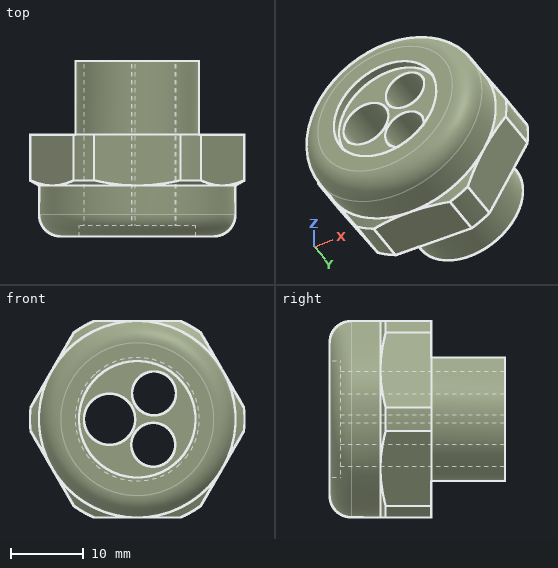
import cadquery as cq
import math

tail_length = 10.1
hex_length = 7.0
head_length = 7.0

across_flats = 27.0
corner_diameter = 29.5
corner_chamfer_angle = 30.0

head_diameter = across_flats
head_fillet = 3.0
tail_diameter = 17.0

recess_diameter = 16.0
recess_depth = 1.5

cable_holes = [
    (-3.8, 0.0, 7.0),
    (2.3, 3.55, 6.0),
    (2.2, -3.5, 6.0),
]

hex_front = -hex_length
head_front = hex_front - head_length
total_length = tail_length + hex_length + head_length


def cylinder(diameter, start_y, length, x=0.0, z=0.0):
    """Cylinder along +Y, starting at start_y."""
    return cq.Workplane(
        cq.Solid.makeCylinder(diameter / 2, length, cq.Vector(x, start_y, z), cq.Vector(0, 1, 0))
    )


def make_hex_flange():
    """Hexagon with flats at top and bottom, turned at the corners and chamfered toward the head."""
    across_corners = across_flats / math.cos(math.radians(30))
    prism = cq.Workplane("XZ").polygon(6, across_corners).extrude(hex_length)

    front_radius = head_diameter / 2
    corner_radius = corner_diameter / 2
    chamfer_length = (corner_radius - front_radius) * math.tan(math.radians(corner_chamfer_angle))
    turned_blank = (
        cq.Workplane("XY")
        .moveTo(0, 0)
        .lineTo(corner_radius, 0)
        .lineTo(corner_radius, hex_front + chamfer_length)
        .lineTo(front_radius, hex_front)
        .lineTo(0, hex_front)
        .close()
        .revolve(360, (0, 0, 0), (0, 1, 0))
    )
    return prism.intersect(turned_blank)


def make_head():
    """Round head with a rounded front rim."""
    return cylinder(head_diameter, head_front, head_length).faces("<Y").edges().fillet(head_fillet)


body = make_hex_flange().union(make_head()).union(cylinder(tail_diameter, 0, tail_length))
body = body.cut(cylinder(recess_diameter, head_front, recess_depth))
for hole_x, hole_z, hole_diameter in cable_holes:
    body = body.cut(cylinder(hole_diameter, head_front, total_length, hole_x, hole_z))

result = body